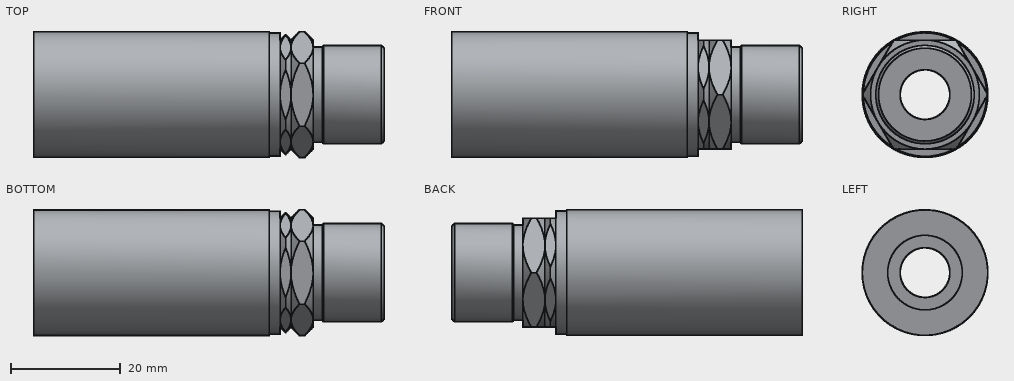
import cadquery as cq
import math

total_length = 64.0

sleeve_diameter = 23.0
sleeve_end = 43.0
collar_diameter = 22.5
collar_end = 45.0

hex_corner_diameter = sleeve_diameter
hex_flat_radius = hex_corner_diameter / 2 * math.cos(math.radians(30))
thin_hex_end = 47.0
thick_hex_end = 51.0

neck_diameter = 17.5
neck_end = 52.7
spigot_diameter = 18.0
spigot_lead_in = (spigot_diameter - neck_diameter) / 2
spigot_chamfer = 0.5

wide_bore_diameter = 13.6
wide_bore_depth = sleeve_end
narrow_bore_diameter = 9.0


def cylinder(start, end, diameter):
    return cq.Workplane("YZ", origin=(start, 0, 0)).circle(diameter / 2).extrude(end - start)


def double_chamfered_hex(start, end):
    """Hexagon with corners along Y, cut by a 45 degree cone from each face."""
    prism = (
        cq.Workplane("YZ", origin=(start, 0, 0))
        .polygon(6, hex_corner_diameter)
        .extrude(end - start)
    )
    middle = (start + end) / 2
    peak_radius = hex_flat_radius + (end - start) / 2
    cones = (
        cq.Workplane("XY")
        .moveTo(start, 0)
        .lineTo(start, hex_flat_radius)
        .lineTo(middle, peak_radius)
        .lineTo(end, hex_flat_radius)
        .lineTo(end, 0)
        .close()
        .revolve(360, (0, 0, 0), (1, 0, 0))
    )
    return prism.intersect(cones)


def spigot():
    body = cylinder(neck_end, total_length, spigot_diameter)
    body = body.faces("<X").chamfer(spigot_lead_in)
    return body.faces(">X").chamfer(spigot_chamfer)


outside = (
    cylinder(0, sleeve_end, sleeve_diameter)
    .union(cylinder(sleeve_end, collar_end, collar_diameter))
    .union(double_chamfered_hex(collar_end, thin_hex_end))
    .union(double_chamfered_hex(thin_hex_end, thick_hex_end))
    .union(cylinder(thick_hex_end, neck_end, neck_diameter))
    .union(spigot())
)

wide_bore = cylinder(0, wide_bore_depth, wide_bore_diameter)
narrow_bore = cylinder(wide_bore_depth, total_length, narrow_bore_diameter)

result = outside.cut(wide_bore).cut(narrow_bore)